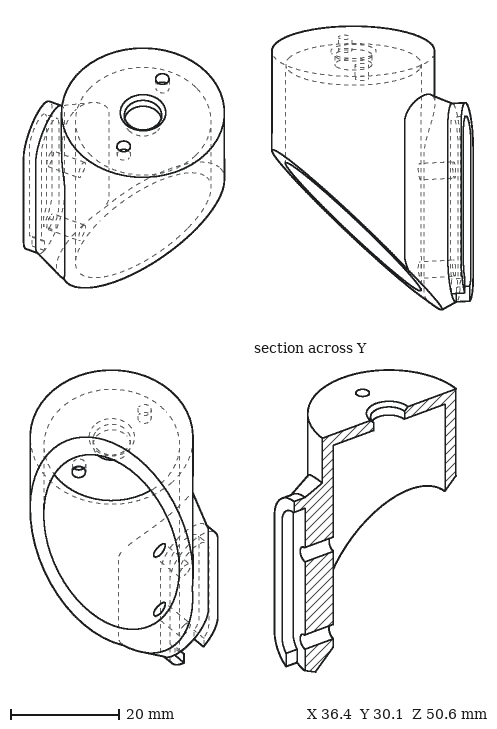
import cadquery as cq

body_diameter = 30.1
cavity_diameter = 25.05
wall = (body_diameter - cavity_diameter) / 2
body_radius = body_diameter / 2
total_height = 50.6
total_length = 36.4

short_side_height = 19.0

centre_hole_diameter = 6.9
centre_hole_chamfer = 0.75
top_screw_diameter = 2.5
top_screw_offset = 8.6

pad_face_x = body_radius - total_length
pad_width = 12.65
pad_plate = 2.5
pad_upper_z = -17.85
pad_lower_z = -43.15
pad_taper_angle = 25.0
skirt_end_x = -7.6

recess_width = 7.7
channel_width = 5.05

pad_screw_diameter = 3.05
pad_screw_spacing = 19.05


def pad_outline(start_x, width):
    """Upright slot outline of the pad in the plane X = start_x, facing +X."""
    arc_spacing = pad_upper_z - pad_lower_z
    middle_z = (pad_upper_z + pad_lower_z) / 2
    return (
        cq.Workplane("YZ", origin=(start_x, 0, middle_z))
        .slot2D(arc_spacing + width, width, 90)
    )


def make_pad():
    """Straight plate followed by a skirt that widens until it is inside the body."""
    skirt_start_x = pad_face_x + pad_plate
    plate = pad_outline(pad_face_x, pad_width).extrude(pad_plate)
    skirt_length = skirt_end_x - skirt_start_x
    skirt = pad_outline(skirt_start_x, pad_width).extrude(skirt_length, taper=-pad_taper_angle)
    return plate.union(skirt)


def below_slope():
    """Everything under the sloping end, leaving the straight pad plate alone."""
    plate_back_x = pad_face_x + pad_plate
    slope_offset = -short_side_height - body_radius
    floor_z = -2 * total_height
    return (
        cq.Workplane("XZ")
        .moveTo(plate_back_x, plate_back_x + slope_offset)
        .lineTo(body_radius, -short_side_height)
        .lineTo(total_height, -short_side_height)
        .lineTo(total_height, floor_z)
        .lineTo(plate_back_x, floor_z)
        .close()
        .extrude(total_height, both=True)
    )


def make_cavity():
    return cq.Workplane("XY", origin=(0, 0, -wall)).circle(cavity_diameter / 2).extrude(-total_height)


def make_top_holes():
    centre_hole = cq.Workplane("XY").circle(centre_hole_diameter / 2).extrude(-2 * wall)
    countersink = (
        cq.Workplane("XY")
        .circle(centre_hole_diameter / 2 + centre_hole_chamfer)
        .extrude(-centre_hole_chamfer, taper=45)
    )
    screws = (
        cq.Workplane("XY")
        .pushPoints([(0, -top_screw_offset), (0, top_screw_offset)])
        .circle(top_screw_diameter / 2)
        .extrude(-2 * wall)
    )
    return centre_hole.union(countersink).union(screws)


def make_recess():
    recess = pad_outline(pad_face_x, recess_width).extrude(pad_plate)
    channel = cq.Workplane("XY").box(
        pad_plate, channel_width, pad_width, centered=(False, True, False)
    ).translate((pad_face_x, 0, pad_lower_z - pad_width))
    return recess.union(channel)


def make_pad_screws():
    return (
        cq.Workplane("YZ", origin=(pad_face_x, 0, pad_lower_z))
        .pushPoints([(0, 0), (0, pad_screw_spacing)])
        .circle(pad_screw_diameter / 2)
        .extrude(-pad_face_x)
    )


body = cq.Workplane("XY").circle(body_radius).extrude(-total_height)
result = (
    body.union(make_pad())
    .cut(below_slope())
    .cut(make_cavity())
    .cut(make_top_holes())
    .cut(make_recess())
    .cut(make_pad_screws())
)